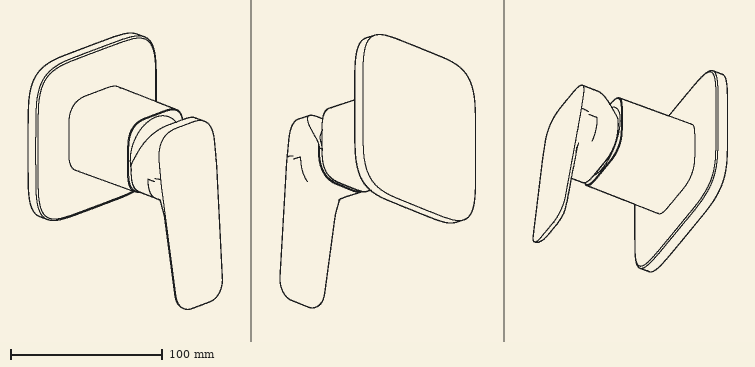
import cadquery as cq
import math

PLATE_HALF = 56.5
PLATE_SIDE_BOW = 0.5
PLATE_CORNER_REACH = 31.5
PLATE_THICKNESS = 8.0
PLATE_BEVEL_DEPTH = 0.8
PLATE_BEVEL_INSET = 1.4

BODY_END = 63.2
BODY_HALF_BASE = 26.4
BODY_HALF_END = 25.96
BODY_CORNER_REACH = 16.0
BODY_END_CHAMFER = 0.5

BALL_CENTER_X = 55.0
BALL_RADIUS = 25.4

HANDLE_HALF = BODY_HALF_END
HANDLE_BACK = 65.5
HANDLE_TOP_BACK = 82.3
HANDLE_FLAT_HALF = 7.6
SLANT_LOW_Z = -2.2
SLANT_BEND_RADIUS = 12.4
HANDLE_RIM_CHAMFER = 0.5

TIP_X = 105.2
FRONT_LEAN = math.radians(7)
LEVER_THICKNESS = 5.0
BEND_RADIUS = 10.8
BEND_SECTION_ANGLES = (90, 78, 67, 52, 36, 20)
SIDE_TAPER = 0.053
SIDE_OVERLAP = 2.3
TRIM_MARGIN = 7.8

LOWEST_Z = PLATE_HALF - 155
TIP_EDGE = 1.0
TIP_Z = LOWEST_Z + TIP_EDGE * math.sin(FRONT_LEAN)

TIP_CORNER_RADIUS = 13.2
TIP_FLAT_HALF = 8.7
TIP_THICKNESS = 4.5
TIP_ROUND_HEIGHT = 6.2
TIP_BACK_FLAT_HALF = 4.6
TIP_SECTION_ANGLES = (90, 70, 50, 30, 15, 0)

PLATE_CORNER_PULL = 0.76
CORNER_PULL = 0.66


def front_x(z):
    """X of the leaning front face at height z."""
    return TIP_X - (z - TIP_Z) * math.tan(FRONT_LEAN)


def rounded_square(x, half, reach, pull, bow=0):
    """Wire across X of a square whose corners blend in over `reach` and whose sides bow out by `bow`."""
    corner = half - bow
    start = corner - reach
    bow_at_start = bow * (1 - (start / corner) ** 2)
    control = corner - reach * (1 - pull)
    edges = []
    for turn in range(4):
        c, s = round(math.cos(turn * math.pi / 2)), round(math.sin(turn * math.pi / 2))

        def point(along, out):
            return cq.Vector(x, c * along - s * out, s * along + c * out)

        side_end = point(start, corner + bow_at_start)
        next_start = point(corner + bow_at_start, start)
        side_start = point(-start, corner + bow_at_start)
        if bow:
            edges.append(cq.Edge.makeThreePointArc(side_start, point(0, half), side_end))
        else:
            edges.append(cq.Edge.makeLine(side_start, side_end))
        controls = [side_end, point(control, corner), point(corner, control), next_start]
        edges.append(cq.Edge.makeBezier(controls))
    return cq.Wire.assembleEdges(edges)


def make_plate():
    outline = rounded_square(0, PLATE_HALF, PLATE_CORNER_REACH, PLATE_CORNER_PULL, PLATE_SIDE_BOW)
    plate = cq.Workplane(cq.Solid.extrudeLinear(outline, [], cq.Vector(PLATE_THICKNESS, 0, 0)))
    return plate.faces(">X").chamfer(PLATE_BEVEL_DEPTH, PLATE_BEVEL_INSET)


def make_body():
    base = rounded_square(PLATE_THICKNESS, BODY_HALF_BASE, BODY_CORNER_REACH, CORNER_PULL)
    end = rounded_square(BODY_END, BODY_HALF_END, BODY_CORNER_REACH, CORNER_PULL)
    body = cq.Workplane(cq.Solid.makeLoft([base, end], True))
    return body.faces(">X").chamfer(BODY_END_CHAMFER)


def make_ball():
    """Front half of the ball, turned about the X axis; its rear is buried in the body."""
    diagonal = BALL_RADIUS * math.sqrt(0.5)
    return (
        cq.Workplane("XZ", origin=(BALL_CENTER_X, 0, 0))
        .lineTo(BALL_RADIUS, 0)
        .threePointArc((diagonal, diagonal), (0, BALL_RADIUS))
        .close()
        .revolve(360, (0, 0, 0), (1, 0, 0))
    )


def lever_section(front, direction, half_width, depth, flat_half):
    """D-shaped section: flat back, blended corners, straight sides running past `front`.

    `front` is the (x, z) point where the corners end; `direction` points from it to the back.
    """

    def point(y, d):
        return cq.Vector(front[0] + direction[0] * d, y, front[1] + direction[1] * d)

    control_y = flat_half + CORNER_PULL * (half_width - flat_half)

    def corner(side):
        return [
            point(side * half_width, 0),
            point(side * half_width, CORNER_PULL * depth),
            point(side * control_y, depth),
            point(side * flat_half, depth),
        ]

    left, right = corner(-1), corner(1)
    left_end = point(-half_width, -SIDE_OVERLAP)
    right_end = point(half_width, -SIDE_OVERLAP)
    return cq.Wire.assembleEdges(
        [
            cq.Edge.makeLine(left_end, left[0]),
            cq.Edge.makeBezier(left),
            cq.Edge.makeLine(left[-1], right[-1]),
            cq.Edge.makeBezier(right[::-1]),
            cq.Edge.makeLine(right[0], right_end),
            cq.Edge.makeLine(right_end, left_end),
        ]
    )


def lever_half_width(height):
    """Half width of the lever at a distance above its tip, measured along the front face."""
    tip_half = TIP_FLAT_HALF + TIP_CORNER_RADIUS
    return min(HANDLE_HALF, tip_half + SIDE_TAPER * (height - TIP_CORNER_RADIUS))


def height_above_tip(z):
    return (z - TIP_Z) / math.cos(FRONT_LEAN)


BEND_Z = -HANDLE_HALF - BEND_RADIUS
BEND_X = front_x(BEND_Z) - (BEND_RADIUS + LEVER_THICKNESS) / math.cos(FRONT_LEAN)
CORNER_START_Z = -HANDLE_FLAT_HALF


def bend_section(angle):
    """Section on the ray that leaves the bend centre at `angle` above horizontal."""
    ray_x, ray_z = math.cos(angle), math.sin(angle)
    reach_front = (front_x(BEND_Z) - BEND_X) / (ray_x + ray_z * math.tan(FRONT_LEAN))
    reach_corner = (CORNER_START_Z - BEND_Z) / ray_z
    reach = min(reach_front, reach_corner)
    front = (BEND_X + reach * ray_x, BEND_Z + reach * ray_z)
    half_width = lever_half_width(height_above_tip(front[1]))
    return lever_section(front, (-ray_x, -ray_z), half_width, reach - BEND_RADIUS, HANDLE_FLAT_HALF)


def tip_section(angle):
    """Section across the rounded tip, from the tip edge (0) up to where the corners end (90 degrees)."""
    height = TIP_CORNER_RADIUS * (1 - math.cos(angle))
    half_width = TIP_FLAT_HALF + TIP_CORNER_RADIUS * math.sin(angle)
    drop = max(0, 1 - height / TIP_ROUND_HEIGHT)
    depth = TIP_EDGE + (TIP_THICKNESS - TIP_EDGE) * math.sqrt(1 - drop**2)
    flat_half = TIP_BACK_FLAT_HALF + (HANDLE_FLAT_HALF - TIP_BACK_FLAT_HALF) * math.sin(angle)
    front = (TIP_X - height * math.sin(FRONT_LEAN), TIP_Z + height * math.cos(FRONT_LEAN))
    to_back = (-math.cos(FRONT_LEAN), -math.sin(FRONT_LEAN))
    return lever_section(front, to_back, half_width, depth, flat_half)


def make_lever():
    bend = [bend_section(math.radians(a)) for a in BEND_SECTION_ANGLES] + [bend_section(FRONT_LEAN)]
    tip = [tip_section(math.radians(a)) for a in TIP_SECTION_ANGLES]
    block_bottom = cq.Solid.extrudeLinear(bend[0], [], cq.Vector(HANDLE_BACK - BEND_X, 0, 0))
    lever = cq.Workplane(block_bottom)
    for piece in (
        cq.Solid.makeLoft(bend),
        cq.Solid.makeLoft([bend[-1], tip[0]], True),
        cq.Solid.makeLoft(tip),
    ):
        lever = lever.union(cq.Workplane(piece))
    return lever


def make_upper_handle():
    outline = rounded_square(HANDLE_BACK, HANDLE_HALF, HANDLE_HALF - HANDLE_FLAT_HALF, CORNER_PULL)
    bar = cq.Workplane(cq.Solid.extrudeLinear(outline, [], cq.Vector(TIP_X - HANDLE_BACK, 0, 0)))
    slant = (
        cq.Workplane("XZ")
        .moveTo(HANDLE_BACK, CORNER_START_Z)
        .lineTo(HANDLE_BACK, SLANT_LOW_Z)
        .lineTo(HANDLE_TOP_BACK, HANDLE_HALF)
        .lineTo(TIP_X, HANDLE_HALF)
        .lineTo(TIP_X, CORNER_START_Z)
        .close()
        .extrude(HANDLE_HALF + TRIM_MARGIN, both=True)
        .edges(cq.selectors.NearestToPointSelector((HANDLE_BACK, 0, SLANT_LOW_Z)))
        .fillet(SLANT_BEND_RADIUS)
    )
    return bar.intersect(slant)


def make_front_trim():
    """Everything in front of the leaning front face."""
    low = TIP_Z - TRIM_MARGIN
    high = HANDLE_HALF + TRIM_MARGIN
    far = TIP_X + 2 * TRIM_MARGIN
    return (
        cq.Workplane("XZ")
        .polyline([(front_x(low), low), (front_x(high), high), (far, high), (far, low)])
        .close()
        .extrude(HANDLE_HALF + TRIM_MARGIN, both=True)
    )


def make_handle():
    front_trim = make_front_trim()
    handle = make_upper_handle().cut(front_trim).union(make_lever().cut(front_trim))
    return handle.faces("<X").edges("<Z").chamfer(HANDLE_RIM_CHAMFER)


result = make_plate().union(make_body()).union(make_ball()).union(make_handle())